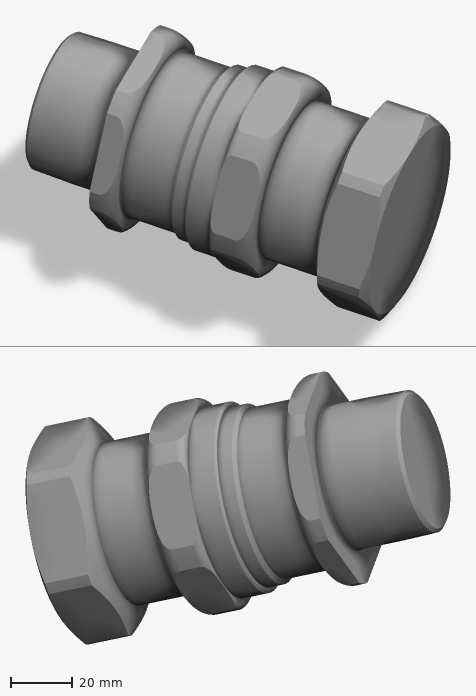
import cadquery as cq
import math

TOTAL_LENGTH = 127.6
ACROSS_FLATS = 65.0

TIP_DIA = 45.2
TIP_CHAMFER = 1.1
TAPER_START_DIA = 47.6
THREAD_DIA = 48.2
THREAD_ROOT_FLARE = 0.4
TAPER_END = 14.2
ENTRY_HEX_START = 28.6
ENTRY_HEX_END = 36.9
HEX_CORNER_DIA = 70.7
HEX_ROUND = 5.1
BARREL_DIA = 57.3
BARREL_FILLET = 0.8

RING_START = 54.8
RING_DIA = 60.4
RING_FRONT_DIA = 57.7
RING_CONE_LENGTH = 1.4

COLLAR_START = 61.0
COLLAR_DIA = 64.0
COLLAR_CHAMFER = 0.8
UNION_HEX_START = 70.7
UNION_HEX_END = 85.6
UNION_FRONT_ROUND = 2.8

SLEEVE_DIA = 54.6

GLAND_START = 106.2
GLAND_CORNER_DIA = 72.8
GLAND_CONE_LENGTH = 4.5
GLAND_REAR_DIA = 65.0
GLAND_REAR_CHAMFER = 1.9


def disc(start, end, diameter):
    """Cylinder about X between two stations."""
    return cq.Workplane("YZ", origin=(start, 0, 0)).circle(diameter / 2).extrude(end - start)


def cone(start, end, start_dia, end_dia):
    """Truncated cone about X between two stations."""
    profile = [(start, 0), (start, start_dia / 2), (end, end_dia / 2), (end, 0)]
    return cq.Workplane("XY").polyline(profile).close().revolve(360, (0, 0), (1, 0))


def hexagon(start, end):
    """Hexagonal prism about X with corners on the Y axis and flats facing +Z and -Z."""
    corner_to_corner = ACROSS_FLATS / math.cos(math.pi / 6)
    return cq.Workplane("YZ", origin=(start, 0, 0)).polygon(6, corner_to_corner).extrude(end - start)


def make_barrel_root_fillet():
    """Concave fillet ring between the hexagon face and the barrel."""
    barrel_radius = BARREL_DIA / 2
    fillet_radius = barrel_radius + BARREL_FILLET
    fillet_end = ENTRY_HEX_END + BARREL_FILLET
    arc_reach = BARREL_FILLET * math.cos(math.pi / 4)
    profile = (
        cq.Workplane("XY")
        .moveTo(ENTRY_HEX_END, 0)
        .lineTo(ENTRY_HEX_END, fillet_radius)
        .threePointArc((fillet_end - arc_reach, fillet_radius - arc_reach), (fillet_end, barrel_radius))
        .lineTo(fillet_end, 0)
        .close()
    )
    return profile.revolve(360, (0, 0), (1, 0))


def make_entry_body():
    tip = cone(0, TIP_CHAMFER, TIP_DIA, TAPER_START_DIA)
    taper = cone(TIP_CHAMFER, TAPER_END, TAPER_START_DIA, THREAD_DIA)
    thread = disc(TAPER_END, ENTRY_HEX_START, THREAD_DIA)
    flare_start = ENTRY_HEX_START - THREAD_ROOT_FLARE
    flare = cone(flare_start, ENTRY_HEX_START, THREAD_DIA, THREAD_DIA + 2 * THREAD_ROOT_FLARE)
    envelope = disc(ENTRY_HEX_START, ENTRY_HEX_END, HEX_CORNER_DIA).faces(">X").edges().fillet(HEX_ROUND)
    hex_flange = hexagon(ENTRY_HEX_START, ENTRY_HEX_END).intersect(envelope)
    root_fillet = make_barrel_root_fillet()
    barrel = disc(ENTRY_HEX_END, RING_START, BARREL_DIA)
    spigot = tip.union(taper).union(thread).union(flare)
    return spigot.union(hex_flange).union(root_fillet).union(barrel)


def make_seal_ring():
    cone_end = RING_START + RING_CONE_LENGTH
    lead_in = cone(RING_START, cone_end, RING_FRONT_DIA, RING_DIA)
    return lead_in.union(disc(cone_end, COLLAR_START, RING_DIA))


def make_union_nut():
    collar = disc(COLLAR_START, UNION_HEX_START, COLLAR_DIA).faces("<X").chamfer(COLLAR_CHAMFER)
    envelope = disc(UNION_HEX_START, UNION_HEX_END, HEX_CORNER_DIA)
    envelope = envelope.faces("<X").edges().fillet(UNION_FRONT_ROUND)
    envelope = envelope.faces(">X").edges().fillet(HEX_ROUND)
    return collar.union(hexagon(UNION_HEX_START, UNION_HEX_END).intersect(envelope))


def make_sleeve():
    return disc(UNION_HEX_END, GLAND_START, SLEEVE_DIA)


def make_gland_nut():
    cone_end = GLAND_START + GLAND_CONE_LENGTH
    rear_start = TOTAL_LENGTH - GLAND_REAR_CHAMFER
    front = cone(GLAND_START, cone_end, SLEEVE_DIA, GLAND_CORNER_DIA)
    middle = disc(cone_end, rear_start, GLAND_CORNER_DIA)
    rear = cone(rear_start, TOTAL_LENGTH, GLAND_CORNER_DIA, GLAND_REAR_DIA)
    envelope = front.union(middle).union(rear)
    return hexagon(GLAND_START, TOTAL_LENGTH).intersect(envelope)


entry_body = make_entry_body()
seal_ring = make_seal_ring()
union_nut = make_union_nut()
sleeve = make_sleeve()
gland_nut = make_gland_nut()

result = cq.Compound.makeCompound(
    [entry_body.val(), seal_ring.val(), union_nut.val(), sleeve.val(), gland_nut.val()]
)